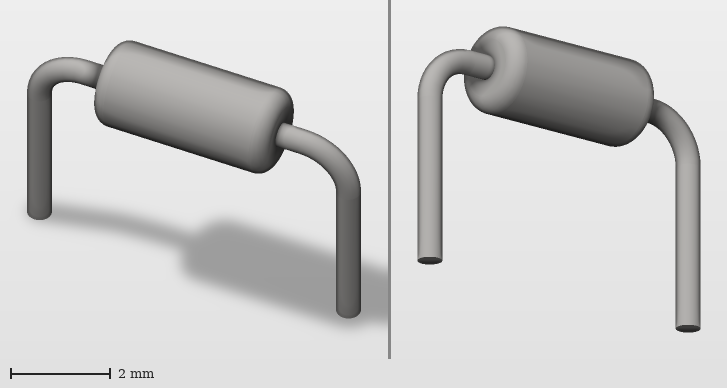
import cadquery as cq

overall_length = 7.3
overall_height = 5.3
body_diameter = 1.8
body_length = 3.8
body_edge_radius = 0.31
lead_diameter = 0.505
bend_radius = 0.99

body_radius = body_diameter / 2
lead_radius = lead_diameter / 2
leg_x = overall_length / 2 - lead_radius
bend_start_x = leg_x - bend_radius
leg_bottom_z = body_radius - overall_height


def make_body():
    """Cylinder along X with rounded rims."""
    return (
        cq.Workplane("YZ", origin=(-body_length / 2, 0, 0))
        .circle(body_radius)
        .extrude(body_length)
        .edges("%CIRCLE")
        .fillet(body_edge_radius)
    )


def make_lead():
    """Round wire from the body centre out to +X, then bent down into a leg."""
    path = (
        cq.Workplane("XZ")
        .lineTo(bend_start_x, 0)
        .radiusArc((leg_x, -bend_radius), bend_radius)
        .lineTo(leg_x, leg_bottom_z)
    )
    return cq.Workplane("YZ").circle(lead_radius).sweep(path)


lead = make_lead()
result = make_body().union(lead).union(lead.mirror("YZ"))